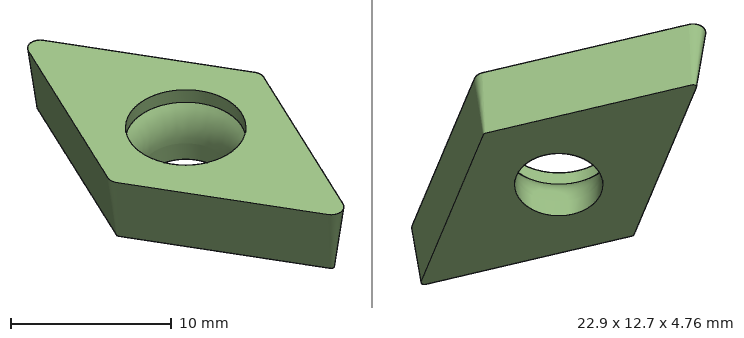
import cadquery as cq
import math


inscribed_diameter = 12.7
thickness = 4.76
acute_angle = 55.0
relief_angle = 7.0
corner_radius = 0.8

bore_diameter = 5.5
mouth_diameter = 7.5
mouth_depth = 1.0
seat_end_depth = 3.5


def make_body():
    """Rounded rhombus at the top face, tapering inward toward the bottom."""
    side_length = inscribed_diameter / math.sin(math.radians(acute_angle))
    half_height = inscribed_diameter / 2
    slant_run = side_length * math.cos(math.radians(acute_angle))
    acute_x = (side_length + slant_run) / 2
    obtuse_x = (side_length - slant_run) / 2

    outline = (
        cq.Workplane("XY", origin=(0, 0, thickness))
        .polyline([
            (-acute_x, -half_height),
            (obtuse_x, -half_height),
            (acute_x, half_height),
            (-obtuse_x, half_height),
        ])
        .close()
        .offset2D(-corner_radius)
        .offset2D(corner_radius, "arc")
    )
    return outline.extrude(-thickness, taper=relief_angle)


def make_hole():
    """Revolved void: straight mouth, convex rounded seat, then the bore."""
    bore_radius = bore_diameter / 2
    mouth_radius = mouth_diameter / 2
    mouth_floor_z = thickness - mouth_depth
    seat_end_z = thickness - seat_end_depth

    seat_width = mouth_radius - bore_radius
    seat_height = mouth_floor_z - seat_end_z
    seat_arc_radius = (seat_width**2 + seat_height**2) / (2 * seat_width)
    half_sweep = math.asin(seat_height / seat_arc_radius) / 2
    seat_middle = (
        bore_radius + seat_arc_radius * (1 - math.cos(half_sweep)),
        seat_end_z + seat_arc_radius * math.sin(half_sweep),
    )

    return (
        cq.Workplane("XZ")
        .lineTo(bore_radius, 0)
        .lineTo(bore_radius, seat_end_z)
        .threePointArc(seat_middle, (mouth_radius, mouth_floor_z))
        .lineTo(mouth_radius, thickness)
        .lineTo(0, thickness)
        .close()
        .revolve(360, (0, 0), (0, 1))
    )


result = make_body().cut(make_hole())